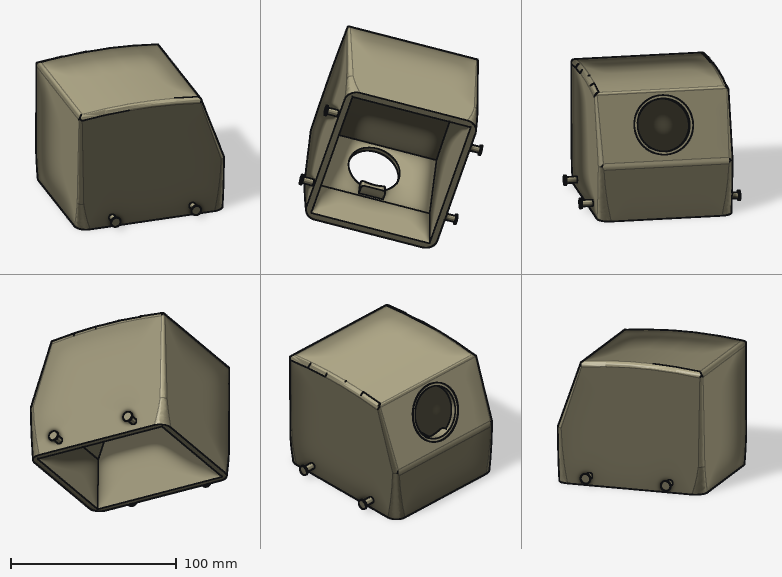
import cadquery as cq
import math

width = 82.5
depth = 94.0
wall = 4.0
draft = math.radians(0.6)
half_width = width / 2
half_depth = depth / 2

slope_foot_z = 34.5
slope_top_y = 31.4
slope_top_z = 76.5
roof_front_z = 76.1
crown_y = -7.3
crown_z = 78.9

roof_side_radius = 2.9
roof_front_radius = 2.9
roof_back_radius = 2.0
slope_foot_radius = 11.8
roof_corner_radius = 1.4
front_flare_z = 17.6
front_flare_radius = 3.1
front_flare_middle_radius = 4.8
front_mouth_radius = 7.4
slope_foot_corner_radius = 2.8
back_flare_middle_radius = 4.3
back_mouth_radius = 7.35

entry_y = 38.6
entry_diameter = 32.0
entry_recess_diameter = 36.1
entry_recess_depth = 0.5
lip_width = 15.2
lip_front_y = 35.7
lip_root_y = 41.65
lip_height = 9.8
lip_corner_radius = 2.0

pin_tip_x = 49.0
pin_y = 25.6
pin_z = 6.1
pin_diameter = 3.9
pin_head_diameter = 6.1
pin_head_thickness = 1.0

overlap = 1.0


def front_y(z):
    """Y of the drafted front face at height z."""
    return -half_depth + z * math.tan(draft)


def back_y(z):
    """Y of the drafted back face at height z."""
    return -front_y(z)


slope_foot_y = back_y(slope_foot_z)
slope_run = slope_foot_y - slope_top_y
slope_rise = slope_top_z - slope_foot_z


def slope_y(z):
    """Y of the sloped face, or its continuation, at height z."""
    return slope_foot_y - (z - slope_foot_z) * slope_run / slope_rise


def make_block():
    """Solid body with all its edges still sharp."""
    return (
        cq.Workplane("YZ", origin=(-half_width, 0, 0))
        .moveTo(-half_depth, 0)
        .lineTo(half_depth, 0)
        .lineTo(slope_foot_y, slope_foot_z)
        .lineTo(slope_top_y, slope_top_z)
        .threePointArc((crown_y, crown_z), (front_y(roof_front_z), roof_front_z))
        .close()
        .extrude(2 * half_width)
    )


def round_edge(block, point, radius):
    """Round the edge whose middle lies nearest to the point."""
    return block.edges(cq.selectors.NearestToPointSelector(point)).fillet(radius)


def make_shell():
    """Hollow body with a uniform wall, an open mouth and a rounded roof."""
    block = make_block()
    shell = block.faces("<Z").shell(-wall)

    along_x = round_edge(block, (0, slope_foot_y, slope_foot_z), slope_foot_radius)
    along_x = round_edge(along_x, (0, slope_top_y, slope_top_z), roof_back_radius)
    along_x = round_edge(along_x, (0, front_y(roof_front_z), roof_front_z), roof_front_radius)
    roof_sides = round_edge(block, (half_width, crown_y, crown_z), roof_side_radius)
    roof_sides = round_edge(roof_sides, (-half_width, crown_y, crown_z), roof_side_radius)
    return shell.intersect(along_x).intersect(roof_sides)


def corner_section(y, z, radius):
    """Waste outside a rounded corner on the +X side at (half_width, y), in the plane at height z."""
    out = math.copysign(1, y)
    mid = radius * (1 - math.sqrt(0.5))
    outer_x = half_width + overlap
    outer_y = y + out * overlap
    return (
        cq.Workplane("XY", origin=(0, 0, z))
        .moveTo(half_width - radius, y)
        .threePointArc((half_width - mid, y - out * mid), (half_width, y - out * radius))
        .lineTo(outer_x, y - out * radius)
        .lineTo(outer_x, outer_y)
        .lineTo(half_width - radius, outer_y)
        .close()
        .wires()
        .val()
    )


def corner_waste(face_y, levels):
    """Smooth cutter through (height, radius) levels along the corner with the face at face_y(z)."""
    sections = [corner_section(face_y(z), z, radius) for z, radius in levels]
    return cq.Workplane(cq.Solid.makeLoft(sections))


def round_corners(shell):
    """Round the four upright corners with a radius that grows towards the mouth."""
    mouth_z = 0
    roof = (crown_z + overlap, roof_corner_radius)
    front_flare = (front_flare_z, front_flare_radius)
    front_middle = (front_flare_z / 2, front_flare_middle_radius)
    slope_foot = (slope_foot_z, slope_foot_corner_radius)
    back_middle = (slope_foot_z / 2, back_flare_middle_radius)
    cutters = [
        corner_waste(front_y, [(mouth_z, front_mouth_radius), front_middle, front_flare]),
        corner_waste(front_y, [front_flare, roof]),
        corner_waste(back_y, [(mouth_z, back_mouth_radius), back_middle, slope_foot]),
        corner_waste(slope_y, [slope_foot, roof]),
    ]
    for cutter in cutters:
        shell = shell.cut(cutter).cut(cutter.mirror("YZ"))
    return shell


def add_cable_entry(shell):
    """Recessed bore through the sloped face, with a short lip inside along its lower edge."""
    entry_z = slope_foot_z + (slope_foot_y - entry_y) * slope_rise / slope_run
    face = cq.Workplane(
        cq.Plane(origin=(0, entry_y, entry_z), xDir=(1, 0, 0), normal=(0, -slope_rise, -slope_run))
    )
    lip = (
        cq.Workplane("XY", origin=(0, 0, slope_foot_z))
        .moveTo(0, (lip_front_y + lip_root_y) / 2)
        .rect(lip_width, lip_root_y - lip_front_y)
        .extrude(lip_height)
        .faces("<Y")
        .edges("|Z")
        .fillet(lip_corner_radius)
    )
    bore_depth = entry_y - lip_front_y + entry_diameter / 2
    bore = face.circle(entry_diameter / 2).extrude(bore_depth)
    recess = (
        face.workplane(offset=-overlap)
        .circle(entry_recess_diameter / 2)
        .extrude(overlap + entry_recess_depth)
    )
    return shell.union(lip).cut(bore).cut(recess)


def make_pin(y):
    """Headed pin standing out of the +X side wall."""
    root_x = half_width - overlap
    shank = (
        cq.Workplane("YZ", origin=(root_x, y, pin_z))
        .circle(pin_diameter / 2)
        .extrude(pin_tip_x - root_x)
    )
    head = (
        cq.Workplane("YZ", origin=(pin_tip_x, y, pin_z))
        .circle(pin_head_diameter / 2)
        .extrude(-pin_head_thickness)
    )
    return shank.union(head)


def add_pins(shell):
    """Two locking pins on each side."""
    for y in (-pin_y, pin_y):
        pin = make_pin(y)
        shell = shell.union(pin).union(pin.mirror("YZ"))
    return shell


result = add_pins(add_cable_entry(round_corners(make_shell())))